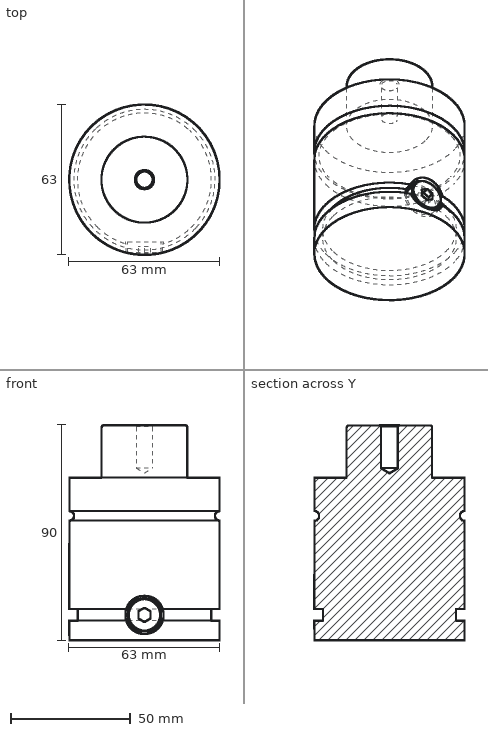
import cadquery as cq
import math

total_height = 90
body_diameter = 63
body_radius = body_diameter / 2
body_height = 68.0
rod_diameter = 36
rod_edge_radius = 1.1

round_groove_radius = 2.0
round_groove_center_z = 52.0

square_groove_center_z = 10.6
square_groove_width = 4.9
square_groove_floor_radius = 28.0

rod_hole_diameter = 6.8
rod_hole_depth = 18
rod_hole_mouth_diameter = 8.0
rod_hole_mouth_angle = 90
drill_point_angle = 118

recess_diameter = 16.0
recess_floor_radius = 26.0
plug_diameter = 14.0
plug_face_radius = 30.9
plug_chamfer = 0.45
socket_corner_diameter = 5.9
socket_depth = 3.0


def make_body():
    body = cq.Workplane("XY").circle(body_radius).extrude(body_height)
    rod = (
        cq.Workplane("XY")
        .circle(rod_diameter / 2)
        .extrude(total_height)
        .faces(">Z")
        .fillet(rod_edge_radius)
    )
    return body.union(rod)


def make_round_groove():
    return (
        cq.Workplane("XZ")
        .center(body_radius, round_groove_center_z)
        .circle(round_groove_radius)
        .revolve(360, (-body_radius, 0), (-body_radius, 1))
    )


def make_square_groove():
    return (
        cq.Workplane("XY")
        .workplane(offset=square_groove_center_z - square_groove_width / 2)
        .circle(body_diameter)
        .circle(square_groove_floor_radius)
        .extrude(square_groove_width)
    )


def plug_plane(distance_from_axis):
    """Plane facing -Y on the plug axis, at a given distance from the body axis."""
    return cq.Workplane("XZ", origin=(0, -distance_from_axis, square_groove_center_z))


def make_recess():
    depth = body_radius - recess_floor_radius
    return plug_plane(recess_floor_radius).circle(recess_diameter / 2).extrude(depth)


def make_plug():
    plug = (
        plug_plane(recess_floor_radius)
        .circle(plug_diameter / 2)
        .extrude(plug_face_radius - recess_floor_radius)
        .faces("<Y")
        .chamfer(plug_chamfer)
    )
    socket = (
        plug_plane(plug_face_radius)
        .transformed(rotate=(0, 0, 90))
        .polygon(6, socket_corner_diameter)
        .extrude(-socket_depth)
    )
    return plug.cut(socket)


def drill_rod_hole(part):
    return (
        part.faces(">Z")
        .workplane(origin=(0, 0, total_height))
        .cskHole(
            rod_hole_diameter,
            rod_hole_mouth_diameter,
            rod_hole_mouth_angle,
            rod_hole_depth,
        )
    )


def make_drill_point():
    """Conical bottom of the rod hole."""
    half_angle = math.radians(drill_point_angle / 2)
    radius = rod_hole_diameter / 2
    return cq.Workplane(
        cq.Solid.makeCone(
            radius,
            0,
            radius / math.tan(half_angle),
            pnt=cq.Vector(0, 0, total_height - rod_hole_depth),
            dir=cq.Vector(0, 0, -1),
        )
    )


part = make_body().cut(make_round_groove()).cut(make_square_groove())
part = part.cut(make_recess()).union(make_plug())
result = drill_rod_hole(part).cut(make_drill_point())